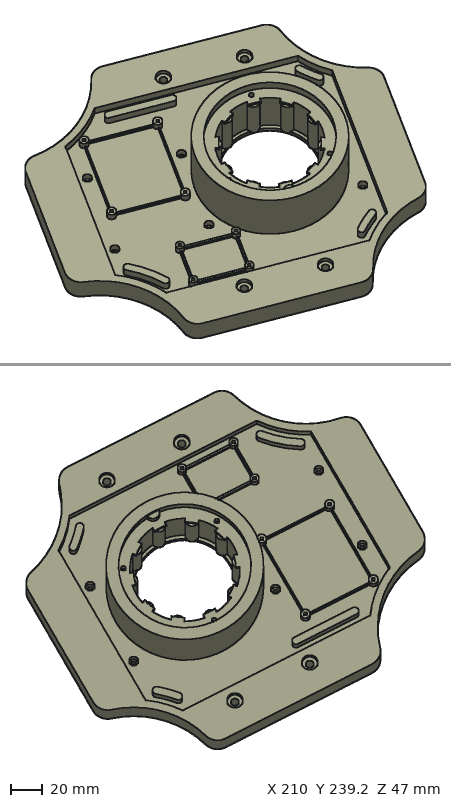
import cadquery as cq
import math

plate_x = 210.0
plate_y = 239.2
plate_z = 16.0
scallop_radius = 63.6
scallop_x = 114.5
scallop_y_back = 129.0
scallop_y_front = -119.6
corner_radius = 10.5
scallops = [
    (-scallop_x, scallop_y_back),
    (scallop_x, scallop_y_back),
    (-scallop_x, scallop_y_front),
    (scallop_x, scallop_y_front),
]

pocket_x = 150.7
pocket_y = 179.5
floor_z = 10.0
rim_width = 5.3
pocket_depth = plate_z - floor_z

ring_y = 30.0
ring_height = 47.0
ring_diameter = 100.0
recess_mouth_diameter = 84.0
recess_floor_diameter = 85.0
recess_depth = 7.0
bore_diameter = 65.0
land_z = ring_height - recess_depth

wall_radius = 35.0
column_count = 10
column_pitch = 360 / column_count
column_radius = 4.3
cap_thickness = 2.0
column_height = land_z - cap_thickness - floor_z
pin_hole_diameter = 3.0
pin_hole_circle_radius = 39.0
pin_hole_depth = 5.0
pin_hole_angles = (60, 180, 300)
stop_radius = 4.3
stop_circle_radius = recess_floor_diameter / 2
stop_height = 4.5

rim_hole_x = 85.2
rim_hole_ys = (40.0, -14.0)
rim_hole_diameter = 5.0
rim_counterbore_diameter = 10.0
rim_counterbore_depth = 3.0
floor_hole_x = 29.0
floor_hole_ys = (82.5, -19.9, -82.5)
floor_hole_diameter = 3.0
floor_counterbore_diameter = 6.0
floor_counterbore_depth = 5.0

rib_width = 5.0
rib_path_radius = 76.5
back_rib_angles = (39.3, 50.2)
front_rib_angles = (30.8, 50.6)
straight_rib_x = -68.0
straight_rib_ends = (-58.5, -11.0)
straight_rib_mid_y = sum(straight_rib_ends) / 2
straight_rib_length = straight_rib_ends[1] - straight_rib_ends[0]
end_round_radius = 2.9
end_round_angle = 27.0
end_round_setback = 2.0

boss_height = 5.0
boss_hole_diameter = 2.1
frame_height = 2.0
computer_center = (-25.4, -52.2)
computer_pitch = (58.1, 49.0)
computer_boss_diameter = 6.0
computer_frame_width = 1.0
driver_center = (56.0, -24.6)
driver_pitch = (28.0, 37.3)
driver_boss_diameter = 5.5
driver_frame_width = 1.5


def disc(radius, bottom, height, center=(0, 0)):
    """Upright cylinder."""
    return cq.Workplane("XY", origin=(*center, bottom)).circle(radius).extrude(height)


def block(size_x, size_y, bottom, height, center=(0, 0)):
    """Upright rectangular block."""
    return cq.Workplane("XY", origin=(*center, bottom)).rect(size_x, size_y).extrude(height)


def scalloped_block(size_x, size_y, bottom, height, radius):
    """Rectangle with a circular bite of the given radius at each corner."""
    bites = cq.Workplane("XY", origin=(0, 0, bottom)).pushPoints(scallops).circle(radius).extrude(height)
    return block(size_x, size_y, bottom, height).cut(bites)


def polar(radius, angle, center=(0, 0)):
    """Point at a radius and an angle in degrees about a centre."""
    turn = math.radians(angle)
    return center[0] + radius * math.cos(turn), center[1] + radius * math.sin(turn)


def make_base():
    """Scalloped plate with rounded corners and the shallow pocket."""
    plate = scalloped_block(plate_x, plate_y, 0, plate_z, scallop_radius)
    plate = plate.edges("|Z").fillet(corner_radius)
    pocket_bite = scallop_radius + rim_width
    return plate.cut(scalloped_block(pocket_x, pocket_y, floor_z, pocket_depth, pocket_bite))


def tapered_recess(mouth_z, inward):
    """Conical recess that widens slightly from its mouth; inward is -1 for down and 1 for up."""
    return (
        cq.Workplane("XY", origin=(0, ring_y, mouth_z))
        .circle(recess_mouth_diameter / 2)
        .workplane(offset=inward * recess_depth)
        .circle(recess_floor_diameter / 2)
        .loft()
    )


def capped_column(angle):
    """Round column against the ring wall, under a flat cap that stops at the bore."""
    cap_length = wall_radius + column_radius
    cap = block(cap_length, 2 * column_radius, land_z - cap_thickness, cap_thickness, (cap_length / 2, ring_y))
    cap = cap.cut(disc(bore_diameter / 2, 0, ring_height, (0, ring_y)))
    column = disc(column_radius, floor_z, column_height, (wall_radius, ring_y))
    return column.union(cap).rotate((0, ring_y, 0), (0, ring_y, 1), angle)


def add_ring(body):
    """Ring with a recess at each end, a thin lip in the bore and columns standing on the lip."""
    axis = (0, ring_y)
    body = body.union(disc(ring_diameter / 2, 0, ring_height, axis))
    body = body.cut(disc(bore_diameter / 2, 0, ring_height, axis))
    body = body.cut(disc(wall_radius, floor_z, land_z - floor_z, axis))
    body = body.cut(tapered_recess(ring_height, -1)).cut(tapered_recess(0, 1))
    for i in range(column_count):
        body = body.union(capped_column(i * column_pitch))
    for angle in pin_hole_angles:
        spot = polar(pin_hole_circle_radius, angle, axis)
        body = body.cut(disc(pin_hole_diameter / 2, land_z - pin_hole_depth, pin_hole_depth, spot))
    return body.union(disc(stop_radius, land_z, stop_height, polar(stop_circle_radius, 0, axis)))


def cut_screw_holes(body):
    """Counterbored through holes in the rim and in the pocket floor."""
    rim_spots = [(side * rim_hole_x, y) for side in (-1, 1) for y in rim_hole_ys]
    floor_spots = [(side * floor_hole_x, y) for side in (-1, 1) for y in floor_hole_ys]
    body = (
        body.copyWorkplane(cq.Workplane("XY", origin=(0, 0, plate_z)))
        .pushPoints(rim_spots)
        .cboreHole(rim_hole_diameter, rim_counterbore_diameter, rim_counterbore_depth, plate_z)
    )
    return (
        body.copyWorkplane(cq.Workplane("XY", origin=(0, 0, floor_z)))
        .pushPoints(floor_spots)
        .cboreHole(floor_hole_diameter, floor_counterbore_diameter, floor_counterbore_depth, floor_z)
    )


def curved_rib(center, start, end):
    """Round-ended rib along an arc that is concentric with a scallop."""
    inner = rib_path_radius - rib_width / 2
    outer = rib_path_radius + rib_width / 2
    middle = (start + end) / 2
    rib = (
        cq.Workplane("XY", origin=(0, 0, floor_z))
        .moveTo(*polar(inner, start, center))
        .threePointArc(polar(inner, middle, center), polar(inner, end, center))
        .lineTo(*polar(outer, end, center))
        .threePointArc(polar(outer, middle, center), polar(outer, start, center))
        .close()
        .extrude(pocket_depth)
    )
    for angle in (start, end):
        rib = rib.union(disc(rib_width / 2, floor_z, pocket_depth, polar(rib_path_radius, angle, center)))
    return rib


def straight_rib():
    """Round-ended rib along Y whose top is rounded over obliquely at the front end."""
    front_y, _ = straight_rib_ends
    rib = (
        cq.Workplane("XY", origin=(straight_rib_x, straight_rib_mid_y, floor_z))
        .slot2D(straight_rib_length, rib_width, 90)
        .extrude(pocket_depth)
    )
    tip = cq.Vector(straight_rib_x, front_y + end_round_setback, plate_z)
    along = cq.Vector(*polar(1, end_round_angle))
    across = cq.Vector(*polar(1, end_round_angle - 90))
    profile = cq.Workplane(cq.Plane(tip, across, along))
    waste = (
        profile.lineTo(end_round_radius, 0)
        .lineTo(end_round_radius, end_round_radius)
        .radiusArc((0, 0), end_round_radius)
        .close()
        .extrude(rib_width, both=True)
    )
    return rib.cut(waste)


def add_ribs(body):
    """Three curved ribs beside the scallops and one straight rib."""
    back_left, back_right, _, front_right = scallops
    near, far = back_rib_angles
    body = body.union(curved_rib(back_left, -near, -far))
    body = body.union(curved_rib(back_right, 180 + near, 180 + far))
    near, far = front_rib_angles
    body = body.union(curved_rib(front_right, 180 - near, 180 - far))
    return body.union(straight_rib())


def add_board_mount(body, center, pitch, boss_diameter, frame_width):
    """Rectangular frame with a drilled boss on each corner."""
    pitch_x, pitch_y = pitch
    frame = block(pitch_x + frame_width, pitch_y + frame_width, floor_z, frame_height, center)
    frame = frame.cut(block(pitch_x - frame_width, pitch_y - frame_width, floor_z, frame_height, center))
    base = cq.Workplane("XY", origin=(*center, floor_z))
    corners = base.rect(pitch_x, pitch_y, forConstruction=True).vertices()
    bosses = corners.circle(boss_diameter / 2).extrude(boss_height)
    holes = corners.circle(boss_hole_diameter / 2).extrude(boss_height)
    return body.union(frame).union(bosses).cut(holes)


result = add_ring(make_base())
result = cut_screw_holes(result)
result = add_ribs(result)
result = add_board_mount(
    result, computer_center, computer_pitch, computer_boss_diameter, computer_frame_width
)
result = add_board_mount(
    result, driver_center, driver_pitch, driver_boss_diameter, driver_frame_width
)